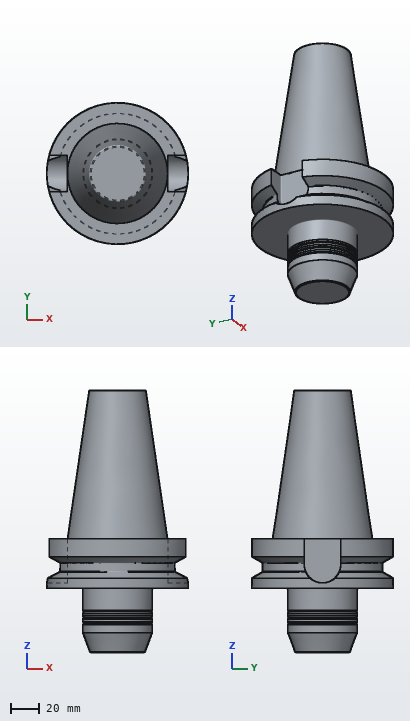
import cadquery as cq
import math

GAUGE_DIAMETER = 69.85
TAPER_LENGTH = 101.8
TAPER_RATIO = 7 / 24
TAPER_EDGE_FILLET = 1.0

FLANGE_DIAMETER = 100.0
FLANGE_GAP = 3.0
FLANGE_THICKNESS = 35.0

GROOVE_CENTRE_DEPTH = 20.25
GROOVE_FLOOR_DIAMETER = 85.0
GROOVE_FLOOR_WIDTH = 6.4
GROOVE_FLANK_ANGLE = 30.0
GROOVE_CORNER_FILLET = 0.6

KEY_SLOT_WIDTH = 25.7
KEY_SLOT_FLOOR = 35.4
KEY_SLOT_DEPTH = 31.2
KEY_SLOT_FILLET = 0.8

NOSE_DIAMETER = 49.25
NOSE_LENGTH = 45.5
NOSE_BARREL_LENGTH = 31.5
BARREL_CHAMFER_WIDTH = 0.3
BARREL_CHAMFER_HEIGHT = 0.5
NOSE_ROOT_FILLET = 0.5
TIP_DIAMETER = 38.6
TIP_CHAMFER = 0.6

RING_GROOVE_COUNT = 3
RING_GROOVE_PITCH = 4.0
RING_GROOVE_FIRST = 16.7
RING_GROOVE_WIDTH = 2.4
RING_GROOVE_DEPTH = 0.6

FLANGE_TOP = -FLANGE_GAP
FLANGE_BOTTOM = FLANGE_TOP - FLANGE_THICKNESS
NOSE_END = FLANGE_BOTTOM - NOSE_LENGTH


def revolve(points):
    """Revolve a closed (radius, z) outline about Z."""
    return cq.Workplane("XZ").polyline(points).close().revolve(360, (0, 0), (0, 1))


def taper_radius(z):
    return (GAUGE_DIAMETER - z * TAPER_RATIO) / 2


def shank():
    outline = [
        (0, FLANGE_TOP),
        (taper_radius(FLANGE_TOP), FLANGE_TOP),
        (taper_radius(TAPER_LENGTH), TAPER_LENGTH),
        (0, TAPER_LENGTH),
    ]
    return revolve(outline).faces(">Z").edges().fillet(TAPER_EDGE_FILLET)


def gripper_groove():
    """Ring cutter with sloped flanks and rounded floor corners."""
    floor_radius = GROOVE_FLOOR_DIAMETER / 2
    rim_radius = FLANGE_DIAMETER / 2
    centre = FLANGE_TOP - GROOVE_CENTRE_DEPTH
    half_floor = GROOVE_FLOOR_WIDTH / 2
    angle = math.radians(GROOVE_FLANK_ANGLE)
    flank_rise = (rim_radius - floor_radius) * math.tan(angle)
    half_mouth = half_floor + flank_rise
    turn = math.pi / 2 - angle
    tangent = GROOVE_CORNER_FILLET * math.tan(turn / 2)
    arc_centre_radius = floor_radius + GROOVE_CORNER_FILLET
    arc_centre_offset = half_floor - tangent
    flank_radius = floor_radius + tangent * math.cos(angle)
    flank_offset = half_floor + tangent * math.sin(angle)
    middle_radius = arc_centre_radius - GROOVE_CORNER_FILLET * math.cos(turn / 2)
    middle_offset = arc_centre_offset + GROOVE_CORNER_FILLET * math.sin(turn / 2)
    return (
        cq.Workplane("XZ", origin=(0, 0, centre))
        .moveTo(rim_radius, -half_mouth)
        .lineTo(flank_radius, -flank_offset)
        .threePointArc((middle_radius, -middle_offset), (floor_radius, -arc_centre_offset))
        .lineTo(floor_radius, arc_centre_offset)
        .threePointArc((middle_radius, middle_offset), (flank_radius, flank_offset))
        .lineTo(rim_radius, half_mouth)
        .close()
        .revolve(360, (0, 0), (0, 1))
    )


def key_slot():
    """Cutter for the slot on the +X side: round lower end, rounded floor edges."""
    radius = KEY_SLOT_WIDTH / 2
    arc_centre = FLANGE_TOP - KEY_SLOT_DEPTH + radius
    length = FLANGE_DIAMETER / 2 - KEY_SLOT_FLOOR
    return (
        cq.Workplane("YZ", origin=(KEY_SLOT_FLOOR, 0, 0))
        .moveTo(-radius, FLANGE_TOP)
        .lineTo(-radius, arc_centre)
        .threePointArc((0, arc_centre - radius), (radius, arc_centre))
        .lineTo(radius, FLANGE_TOP)
        .close()
        .extrude(length)
        .faces("<X")
        .edges("not >Z")
        .fillet(KEY_SLOT_FILLET)
    )


def flange():
    disc = (
        cq.Workplane("XY", origin=(0, 0, FLANGE_BOTTOM))
        .circle(FLANGE_DIAMETER / 2)
        .extrude(FLANGE_THICKNESS)
        .cut(gripper_groove())
    )
    for angle in (0, 180):
        disc = disc.cut(key_slot().rotate((0, 0, 0), (0, 0, 1), angle))
    return disc


def ring_groove(centre):
    outer = NOSE_DIAMETER / 2
    half_width = RING_GROOVE_WIDTH / 2
    outline = [
        (outer, centre - half_width),
        (outer, centre + half_width),
        (outer - RING_GROOVE_DEPTH, centre),
    ]
    return revolve(outline)


def nose():
    """Barrel with ring grooves and a conical tip."""
    barrel_radius = NOSE_DIAMETER / 2
    barrel_end = FLANGE_BOTTOM - NOSE_BARREL_LENGTH
    outline = [
        (0, FLANGE_BOTTOM),
        (barrel_radius, FLANGE_BOTTOM),
        (barrel_radius, barrel_end),
        (barrel_radius - BARREL_CHAMFER_WIDTH, barrel_end - BARREL_CHAMFER_HEIGHT),
        (TIP_DIAMETER / 2, NOSE_END),
        (0, NOSE_END),
    ]
    body = revolve(outline).faces("<Z").edges().chamfer(TIP_CHAMFER)
    for index in range(RING_GROOVE_COUNT):
        depth = RING_GROOVE_FIRST + index * RING_GROOVE_PITCH
        body = body.cut(ring_groove(FLANGE_BOTTOM - depth))
    return body


def nose_root():
    """Ring that rounds the corner between the flange underside and the nose."""
    inner = NOSE_DIAMETER / 2
    outer = inner + NOSE_ROOT_FILLET
    mid_offset = NOSE_ROOT_FILLET * (1 - math.sqrt(0.5))
    return (
        cq.Workplane("XZ")
        .moveTo(inner, FLANGE_BOTTOM)
        .lineTo(outer, FLANGE_BOTTOM)
        .threePointArc(
            (inner + mid_offset, FLANGE_BOTTOM - mid_offset),
            (inner, FLANGE_BOTTOM - NOSE_ROOT_FILLET),
        )
        .close()
        .revolve(360, (0, 0), (0, 1))
    )


result = shank().union(flange()).union(nose()).union(nose_root())